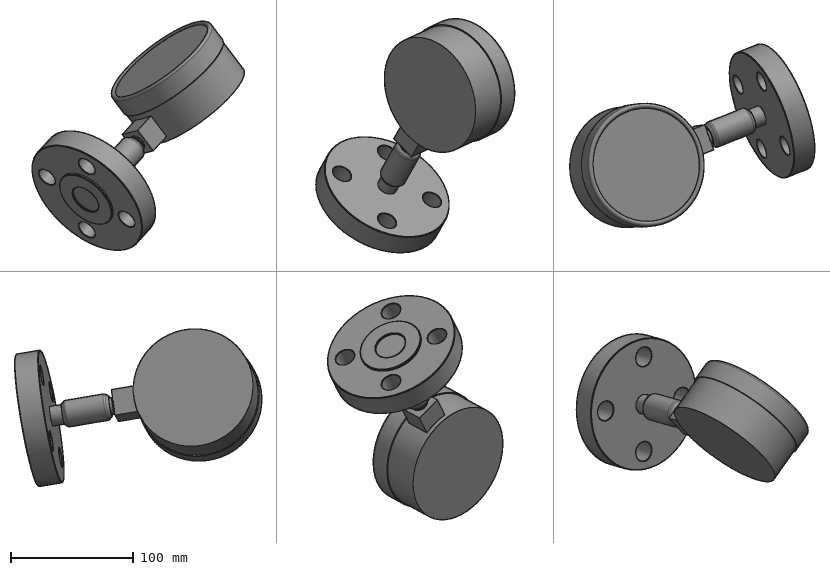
import cadquery as cq
import math

TOTAL_LENGTH = 192.5

FLANGE_DIAMETER = 110.1
FLANGE_THICKNESS = 20.0
FLANGE_CHAMFER = 0.5
BOLT_COUNT = 4
BOLT_CIRCLE_DIAMETER = 79.3
BOLT_HOLE_DIAMETER = 16.2
BOLT_HOLE_CHAMFER = 0.4

FACE_HEIGHT = 2.0
FACE_DIAMETER = 52.4
RECESS_DEPTH = 1.3
RECESS_DIAMETER = 25.5
FACE_CHAMFER = 0.5

STEM_DIAMETER = 16.4
STEM_LENGTH = 9.8
SLEEVE_DIAMETER = 22.1
SLEEVE_LOWER_DIAMETER = 17.3
SLEEVE_UPPER_DIAMETER = 17.0
SLEEVE_LOWER_TAPER = 2.9
SLEEVE_LENGTH = 33.5
SLEEVE_UPPER_TAPER = 3.0
SLEEVE_LOWER_FILLET = 1.2
SLEEVE_UPPER_FILLET = 2.7
COLLAR_DIAMETER = 13.9
COLLAR_LENGTH = 2.3
NECK_DIAMETER = 13.7
NECK_LENGTH = 1.3

BLOCK_WIDTH = 22.0

DIAL_TILT = 45.0
BEZEL_DIAMETER = 100.9
CASE_DIAMETER = 99.0
CASE_BACK = 15.0
BEZEL_BACK = 16.0
RIM_TOP = 34.0
RIM_RADIUS = 2.1
RIM_INNER_DIAMETER = 93.2
DIAL_LEVEL = 32.3
DIAL_DIAMETER = 92.4

FLANGE_BACK = FACE_HEIGHT + FLANGE_THICKNESS
SLEEVE_START = FLANGE_BACK + STEM_LENGTH
SLEEVE_BODY_START = SLEEVE_START + SLEEVE_LOWER_TAPER
SLEEVE_BODY_END = SLEEVE_BODY_START + SLEEVE_LENGTH
COLLAR_START = SLEEVE_BODY_END + SLEEVE_UPPER_TAPER
NECK_START = COLLAR_START + COLLAR_LENGTH
BLOCK_START = NECK_START + NECK_LENGTH
GAUGE_CENTRE = TOTAL_LENGTH - BEZEL_DIAMETER / 2


def cylinder(diameter, start, length):
    """Cylinder along +Y on the stem axis."""
    return cq.Workplane("XZ", origin=(0, start, 0)).circle(diameter / 2).extrude(-length)


def cone(start_diameter, end_diameter, start, length):
    """Truncated cone along +Y on the stem axis."""
    solid = cq.Solid.makeCone(
        start_diameter / 2, end_diameter / 2, length, cq.Vector(0, start, 0), cq.Vector(0, 1, 0)
    )
    return cq.Workplane(obj=solid)


def flange():
    disc = cylinder(FLANGE_DIAMETER, FACE_HEIGHT, FLANGE_THICKNESS).edges().chamfer(FLANGE_CHAMFER)
    holes = (
        cq.Workplane("XZ", origin=(0, FACE_HEIGHT, 0))
        .polarArray(BOLT_CIRCLE_DIAMETER / 2, 0, 360, BOLT_COUNT)
        .circle(BOLT_HOLE_DIAMETER / 2)
        .extrude(-FLANGE_THICKNESS)
    )
    drilled = disc.cut(holes)
    hole_rims = drilled.faces("<Y or >Y").edges(cq.selectors.RadiusNthSelector(0))
    drilled_disc = hole_rims.chamfer(BOLT_HOLE_CHAMFER)
    raised_face = (
        cylinder(FACE_DIAMETER, 0, FACE_HEIGHT)
        .cut(cylinder(RECESS_DIAMETER, 0, RECESS_DEPTH))
        .faces("<Y")
        .chamfer(FACE_CHAMFER)
    )
    return drilled_disc.union(raised_face)


def sleeve():
    """Cylinder tapered at both ends, with rounded shoulders."""
    body = (
        cone(SLEEVE_LOWER_DIAMETER, SLEEVE_DIAMETER, SLEEVE_START, SLEEVE_LOWER_TAPER)
        .union(cylinder(SLEEVE_DIAMETER, SLEEVE_BODY_START, SLEEVE_LENGTH))
        .union(cone(SLEEVE_DIAMETER, SLEEVE_UPPER_DIAMETER, SLEEVE_BODY_END, SLEEVE_UPPER_TAPER))
    )
    body = body.faces("%CYLINDER").edges(">Y").fillet(SLEEVE_UPPER_FILLET)
    return body.faces("%CYLINDER").edges("<Y").fillet(SLEEVE_LOWER_FILLET)


def stem():
    return (
        cylinder(STEM_DIAMETER, FLANGE_BACK, STEM_LENGTH)
        .union(sleeve())
        .union(cylinder(COLLAR_DIAMETER, COLLAR_START, COLLAR_LENGTH))
        .union(cylinder(NECK_DIAMETER, NECK_START, NECK_LENGTH))
    )


def wrench_block():
    """Square bar that ends inside the gauge case, turned with the dial."""
    return (
        cq.Workplane("XZ", origin=(0, BLOCK_START, 0))
        .rect(BLOCK_WIDTH, BLOCK_WIDTH)
        .extrude(BLOCK_START - GAUGE_CENTRE)
        .rotate((0, 0, 0), (0, 1, 0), -DIAL_TILT)
    )


def gauge_case():
    """Case and bezel revolved about the dial axis, which leans from +Z towards -X."""
    tilt = math.radians(DIAL_TILT)
    dial_plane = cq.Plane(
        origin=(0, GAUGE_CENTRE, 0),
        xDir=(0, 1, 0),
        normal=(math.cos(tilt), 0, math.sin(tilt)),
    )
    bezel_radius = BEZEL_DIAMETER / 2
    case_radius = CASE_DIAMETER / 2
    crest_radius = bezel_radius - RIM_RADIUS
    rim_edge = RIM_TOP - RIM_RADIUS
    inner_radius = RIM_INNER_DIAMETER / 2
    inner_edge = rim_edge + math.sqrt(RIM_RADIUS**2 - (crest_radius - inner_radius) ** 2)
    return (
        cq.Workplane(dial_plane)
        .moveTo(0, -CASE_BACK)
        .lineTo(case_radius, -CASE_BACK)
        .lineTo(case_radius, BEZEL_BACK)
        .lineTo(bezel_radius, BEZEL_BACK)
        .lineTo(bezel_radius, rim_edge)
        .threePointArc((crest_radius, RIM_TOP), (inner_radius, inner_edge))
        .lineTo(DIAL_DIAMETER / 2, DIAL_LEVEL)
        .lineTo(0, DIAL_LEVEL)
        .close()
        .revolve(360, (0, 0, 0), (0, 1, 0))
    )


result = flange().union(stem()).union(wrench_block()).union(gauge_case())